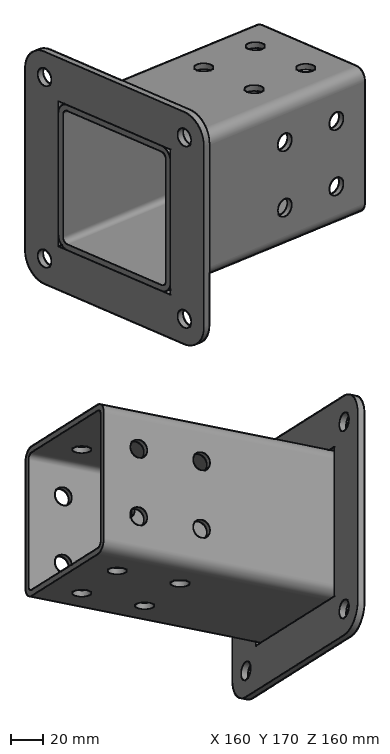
import cadquery as cq

plate_side = 160.0
plate_thickness = 5.0
plate_corner_radius = 17.5
plate_hole_spacing = 125.0

tube_side = 100.0
tube_wall = 4.0
tube_outer_radius = 8.0
tube_inner_radius = tube_outer_radius - tube_wall
tube_length = 170.0

hole_diameter = 12.0
tube_hole_spacing = 45.0
tube_hole_end_distance = 25.0
tube_hole_center_y = tube_length - tube_hole_end_distance - tube_hole_spacing / 2


def square_bar(side, length):
    """Square bar centred on the Y axis, from Y = 0 to Y = length."""
    return cq.Workplane("XZ").rect(side, side).extrude(-length)


def rounded_bar(side, length, radius):
    """Square bar with its four long edges rounded."""
    return square_bar(side, length).edges("|Y").fillet(radius)


def make_plate():
    plate = rounded_bar(plate_side, plate_thickness, plate_corner_radius)
    window = square_bar(tube_side, plate_thickness)
    bolt_holes = (
        cq.Workplane("XZ")
        .rarray(plate_hole_spacing, plate_hole_spacing, 2, 2)
        .circle(hole_diameter / 2)
        .extrude(-plate_thickness)
    )
    return plate.cut(window).cut(bolt_holes)


def cross_holes(plane_name):
    """Four drills passing through two opposite tube walls, normal to the given plane."""
    return (
        cq.Workplane(plane_name, origin=(0, tube_hole_center_y, 0))
        .rarray(tube_hole_spacing, tube_hole_spacing, 2, 2)
        .circle(hole_diameter / 2)
        .extrude(tube_side, both=True)
    )


def make_tube():
    tube = rounded_bar(tube_side, tube_length, tube_outer_radius)
    tube = tube.cut(rounded_bar(tube_side - 2 * tube_wall, tube_length, tube_inner_radius))
    for plane_name in ("XY", "YZ"):
        tube = tube.cut(cross_holes(plane_name))
    return tube


plate = make_plate()
tube = make_tube()
result = cq.Compound.makeCompound([plate.val(), tube.val()])